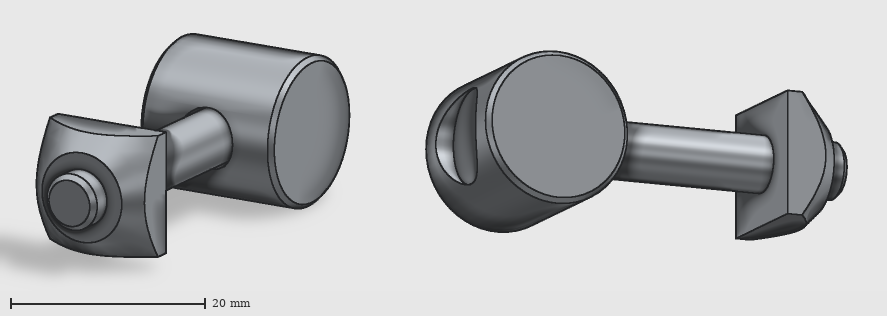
import cadquery as cq

barrel_diameter = 16.0
barrel_length = barrel_diameter
barrel_chamfer = 0.5
clearance_diameter = 6.6
counterbore_diameter = 10.0
counterbore_depth = 8.0

shank_diameter = 6.0
tip_diameter = 4.9
tip_chamfer = (shank_diameter - tip_diameter) / 2
overall_length = 43.0
head_diameter = counterbore_diameter
head_height = 6.0

nut_width = 13.0
nut_thickness = 6.0
nut_face_diameter = 9.6
nut_front_setback = 2.5

barrel_radius = barrel_diameter / 2
tip_y = barrel_radius - overall_length
nut_front_y = tip_y + nut_front_setback
nut_back_y = nut_front_y + nut_thickness
seat_y = barrel_radius - counterbore_depth


def rod(diameter, start_y, end_y):
    """Round bar along Y from start_y to the larger end_y."""
    plane = cq.Workplane("XZ", origin=(0, start_y, 0))
    return plane.circle(diameter / 2).extrude(start_y - end_y)


def make_barrel():
    bar = cq.Workplane("YZ").circle(barrel_radius).extrude(barrel_length / 2, both=True)
    bar = bar.faces("<X or >X").chamfer(barrel_chamfer)
    clearance_hole = rod(clearance_diameter, -barrel_radius, barrel_radius)
    counterbore = rod(counterbore_diameter, seat_y, barrel_radius)
    return bar.cut(clearance_hole).cut(counterbore)


def make_screw():
    shank = rod(shank_diameter, tip_y, seat_y).faces("<Y").chamfer(tip_chamfer)
    head = rod(head_diameter, seat_y, seat_y + head_height)
    return shank.union(head)


def make_nut():
    block = cq.Workplane("XY").box(nut_width, nut_thickness, nut_width)
    block = block.translate((0, (nut_front_y + nut_back_y) / 2, 0))
    face_radius = nut_face_diameter / 2
    cone = (
        cq.Workplane("XY")
        .moveTo(0, nut_front_y)
        .lineTo(face_radius, nut_front_y)
        .lineTo(face_radius + nut_thickness, nut_back_y)
        .lineTo(0, nut_back_y)
        .close()
        .revolve(360, (0, 0, 0), (0, 1, 0))
    )
    threaded_hole = rod(shank_diameter, nut_front_y, nut_back_y)
    return block.intersect(cone).cut(threaded_hole)


barrel = make_barrel()
screw = make_screw()
nut = make_nut()
result = cq.Compound.makeCompound([barrel.val(), screw.val(), nut.val()])